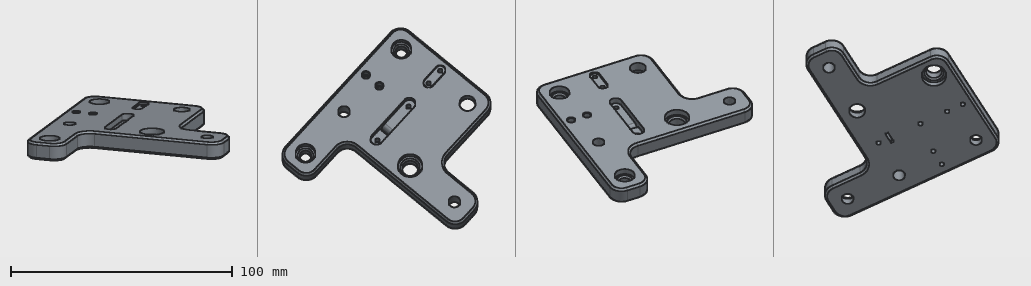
import cadquery as cq
import math

SIZE = 84.2
THICKNESS = 8.0
ARM_WIDTH = 18.3
CORNER_RADIUS = 6.0
EDGE_CHAMFER = 1.0

MARGIN = ARM_WIDTH / 2
SHORT_PITCH = 26.4
NEAR = MARGIN
FAR = SIZE - MARGIN
CROSS_X = FAR - SHORT_PITCH
CROSS_Y = NEAR + SHORT_PITCH
MID_X = (NEAR + CROSS_X) / 2
MID_Y = (CROSS_Y + FAR) / 2

SMALL_HOLE = 5.3
SMALL_COUNTERBORE = 9.0
LARGE_HOLE = 7.2
LARGE_COUNTERBORE = 11.0
COUNTERBORE_DEPTH = 2.9
SEAT_CHAMFER = 0.8

SCREW_HOLE = 2.0
SCREW_PITCH = 8.0
SCREW_COUNTERBORE = 3.2
SCREW_COUNTERBORE_DEPTH = 4.0
SCREW_MOUTH_CHAMFER = 0.3

SHORT_POCKET_WIDTH = 4.6
SHORT_POCKET_DEPTH = 1.0
SHORT_POCKET_LENGTH = SCREW_PITCH + SHORT_POCKET_WIDTH

LONG_POCKET_LENGTH = 28.0
LONG_POCKET_WIDTH = 5.55
LONG_POCKET_DEPTH = 3.0
LONG_POCKET_Y = 46.55
LONG_POCKET_SCREW_PITCH = 21.5
WINDOW_BOTTOM_Y = 40.7
WINDOW_LENGTH = 1.4
WINDOW_LIP_RADIUS = 2.0


def plate():
    """Square plate with two arms, rounded corners and chamfered rims."""
    outline = [
        (0, 0),
        (ARM_WIDTH, 0),
        (ARM_WIDTH, CROSS_Y - MARGIN),
        (SIZE, CROSS_Y - MARGIN),
        (SIZE, CROSS_Y + MARGIN),
        (CROSS_X + MARGIN, CROSS_Y + MARGIN),
        (CROSS_X + MARGIN, SIZE),
        (0, SIZE),
    ]
    body = cq.Workplane("XY").polyline(outline).close().extrude(THICKNESS)
    body = body.edges("|Z").fillet(CORNER_RADIUS)
    return body.faces("<Z or >Z").chamfer(EDGE_CHAMFER)


def through_holes(points, diameter):
    return cq.Workplane("XY").pushPoints(points).circle(diameter / 2).extrude(THICKNESS)


def counterbores(points, diameter, depth):
    floor = cq.Workplane("XY").workplane(offset=THICKNESS - depth)
    return floor.pushPoints(points).circle(diameter / 2).extrude(depth)


def countersinks(points, hole_diameter, width, top_z):
    """45 degree cones that open each hole out by `width` at height `top_z`."""
    radius = hole_diameter / 2
    cone = cq.Solid.makeCone(radius, radius + width, width)
    cones = cq.Workplane("XY").workplane(offset=top_z - width).pushPoints(points)
    return cones.eachpoint(lambda place: cone.moved(place))


def seated_holes(points, hole_diameter, counterbore_diameter):
    """Counterbored holes with a chamfer where the hole meets the seat."""
    seat_z = THICKNESS - COUNTERBORE_DEPTH
    cutter = through_holes(points, hole_diameter)
    cutter = cutter.union(counterbores(points, counterbore_diameter, COUNTERBORE_DEPTH))
    return cutter.union(countersinks(points, hole_diameter, SEAT_CHAMFER, seat_z))


def flipped(cutter):
    """Same cutter entering from the bottom face instead of the top."""
    return cutter.mirror("XY").translate((0, 0, THICKNESS))


def screw_holes():
    """Pair of stepped screw holes with a chamfered mouth."""
    points = [(NEAR + side * SCREW_PITCH / 2, MID_Y) for side in (-1, 1)]
    cutter = through_holes(points, SCREW_HOLE)
    cutter = cutter.union(counterbores(points, SCREW_COUNTERBORE, SCREW_COUNTERBORE_DEPTH))
    return cutter.union(countersinks(points, SCREW_COUNTERBORE, SCREW_MOUTH_CHAMFER, THICKNESS))


def pocket(center_y, length, width, depth, screw_pitch):
    """Round-ended pocket along Y with a screw hole near each end."""
    floor = cq.Workplane("XY").workplane(offset=THICKNESS - depth)
    recess = floor.center(MID_X, center_y).slot2D(length, width, 90).extrude(depth)
    points = [(MID_X, center_y + side * screw_pitch / 2) for side in (-1, 1)]
    return recess.union(through_holes(points, SCREW_HOLE))


def window():
    """Window through the long pocket floor, its far lip rounded into the floor."""
    floor_z = THICKNESS - LONG_POCKET_DEPTH
    wall_y = WINDOW_BOTTOM_Y + WINDOW_LENGTH
    diagonal = WINDOW_LIP_RADIUS / math.sqrt(2)
    profile = (
        cq.Workplane("YZ")
        .workplane(offset=MID_X - LONG_POCKET_WIDTH / 2)
        .moveTo(WINDOW_BOTTOM_Y, 0)
        .lineTo(wall_y, 0)
        .lineTo(wall_y, floor_z - WINDOW_LIP_RADIUS)
        .threePointArc(
            (wall_y + WINDOW_LIP_RADIUS - diagonal, floor_z - WINDOW_LIP_RADIUS + diagonal),
            (wall_y + WINDOW_LIP_RADIUS, floor_z),
        )
        .lineTo(WINDOW_BOTTOM_Y, floor_z)
        .close()
    )
    return profile.extrude(LONG_POCKET_WIDTH)


cutters = [
    through_holes([(NEAR, CROSS_Y), (FAR, CROSS_Y)], SMALL_HOLE),
    flipped(seated_holes([(CROSS_X, FAR)], LARGE_HOLE, LARGE_COUNTERBORE)),
    seated_holes([(NEAR, NEAR), (NEAR, FAR)], SMALL_HOLE, SMALL_COUNTERBORE),
    seated_holes([(CROSS_X, CROSS_Y)], LARGE_HOLE, LARGE_COUNTERBORE),
    screw_holes(),
    pocket(FAR, SHORT_POCKET_LENGTH, SHORT_POCKET_WIDTH, SHORT_POCKET_DEPTH, SCREW_PITCH),
    pocket(LONG_POCKET_Y, LONG_POCKET_LENGTH, LONG_POCKET_WIDTH, LONG_POCKET_DEPTH, LONG_POCKET_SCREW_PITCH),
    window(),
]

result = plate()
for cutter in cutters:
    result = result.cut(cutter)